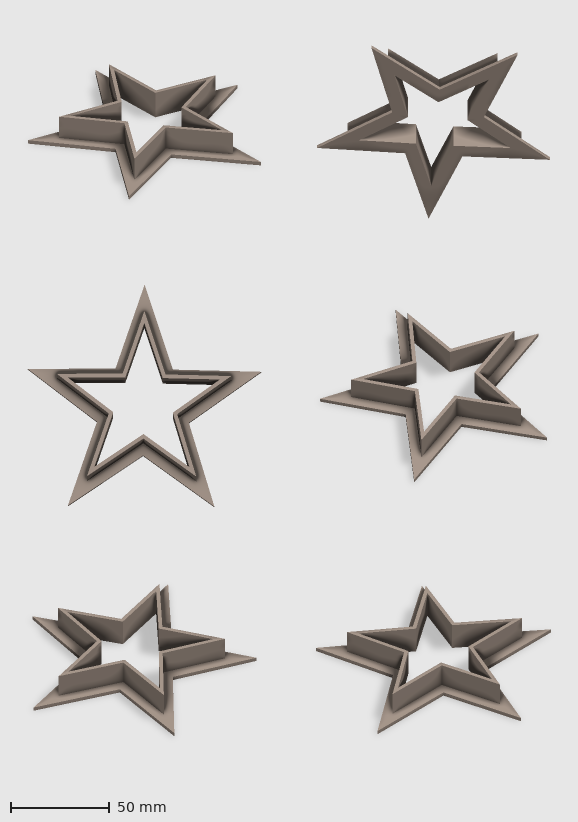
import cadquery as cq
import math

star_width = 120.7
star_depth = 112.6
plate_thickness = 2.0
total_height = 14.7
flange_width = 5.1
wall_thickness = 1.9

arm_edge_y = 14.2
upper_notch_x = 14.5
lower_notch_x = 23.4
lower_notch_y = -13.5
foot_tip_x = 36.8
bottom_notch_y = -30.0

top_tip = (0.0, star_depth / 2)
bottom_notch = (0.0, bottom_notch_y)
right_side = [
    (upper_notch_x, arm_edge_y),
    (star_width / 2, arm_edge_y),
    (lower_notch_x, lower_notch_y),
    (foot_tip_x, -star_depth / 2),
]
left_side = [(-x, y) for x, y in reversed(right_side)]
star_corners = [top_tip, *right_side, bottom_notch, *left_side]


def inset_corner(before, corner, after, inset):
    """Sharp corner left when both sides of a clockwise outline move inward."""
    length_in = math.dist(before, corner)
    length_out = math.dist(corner, after)
    in_x = (corner[0] - before[0]) / length_in
    in_y = (corner[1] - before[1]) / length_in
    out_x = (after[0] - corner[0]) / length_out
    out_y = (after[1] - corner[1]) / length_out
    shift = inset / (1 + in_x * out_x + in_y * out_y)
    return (corner[0] + shift * (in_y + out_y), corner[1] - shift * (in_x + out_x))


def star_prism(inset, height):
    """Star prism standing on Z = 0, its sides moved inward by the inset."""
    count = len(star_corners)
    corners = [
        inset_corner(star_corners[i - 1], star_corners[i], star_corners[(i + 1) % count], inset)
        for i in range(count)
    ]
    return cq.Workplane("XY").polyline(corners).close().extrude(height)


plate = star_prism(0, plate_thickness)
wall = star_prism(flange_width, total_height)
opening = star_prism(flange_width + wall_thickness, total_height)

result = plate.union(wall).cut(opening)